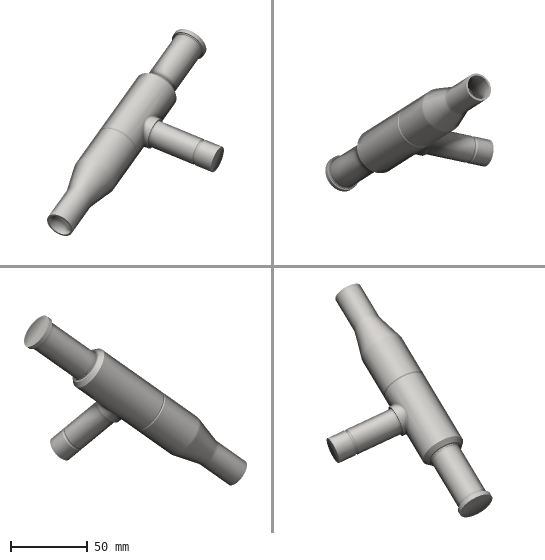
import cadquery as cq


BODY_RADIUS = 30.0 / 2
BODY_TOP_Y = 36.5
BODY_TOP_TAPER_LENGTH = 2.9
BODY_SHOULDER_RADIUS = 12.5

JOINT_GROOVE_Y = -20.3
JOINT_GROOVE_WIDTH = 1.4
JOINT_GROOVE_DEPTH = 0.4

TUBE_RADIUS = 21.0 / 2
WELD_RADIUS = 21.6 / 2
WELD_HEIGHT = 0.8
FLANGE_RADIUS = 24.0 / 2
FLANGE_THICKNESS = 3.0
FLANGE_STEP_RADIUS = 22.0 / 2
FLANGE_STEP_HEIGHT = 0.5
TOP_Y = 80.2

OVERALL_LENGTH = 179.35
BOTTOM_Y = TOP_Y - OVERALL_LENGTH
CONE_START_Y = -51.8
CONE_END_Y = -72.6
CONE_START_BLEND = 4.0
CONE_END_BLEND = 5.0
PIPE_RADIUS = 18.9 / 2
SOCKET_RADIUS = 16.15 / 2
SOCKET_DEPTH = 20.0
BORE_RADIUS = 14.5 / 2
BORE_DEPTH = 30.0

BRANCH_RADIUS = 18.0 / 2
OVERALL_WIDTH = 78.7
BRANCH_END_X = OVERALL_WIDTH - BODY_RADIUS
BRANCH_GROOVE_START_X = 49.6
BRANCH_GROOVE_WIDTH = 2.0
BRANCH_GROOVE_DEPTH = 0.5
COLLAR_RADIUS = 21.0 / 2
COLLAR_END_X = 17.1
COLLAR_FILLET = 1.0

SELECT_MARGIN = 1.0


def cylinder_y(radius, start_y, end_y):
    """Solid cylinder on the main axis between two Y positions."""
    base = cq.Workplane("XZ", origin=(0, start_y, 0))
    return base.circle(radius).extrude(start_y - end_y)


def cylinder_x(radius, end_x):
    """Solid cylinder on the branch axis, starting at the main axis."""
    return cq.Workplane("YZ").circle(radius).extrude(end_x)


def ring_at(y):
    """Selector for the circular edges around the main axis at a Y position."""
    reach = BODY_RADIUS + SELECT_MARGIN
    return cq.selectors.BoxSelector(
        (-reach, y - SELECT_MARGIN, -reach),
        (reach, y + SELECT_MARGIN, reach),
        boundingbox=True,
    )


def make_body():
    """Body barrel, reducer cone and lower pipe, turned in one piece."""
    body = (
        cq.Workplane("XY")
        .moveTo(0, BOTTOM_Y)
        .lineTo(PIPE_RADIUS, BOTTOM_Y)
        .lineTo(PIPE_RADIUS, CONE_END_Y)
        .lineTo(BODY_RADIUS, CONE_START_Y)
        .lineTo(BODY_RADIUS, BODY_TOP_Y - BODY_TOP_TAPER_LENGTH)
        .lineTo(BODY_SHOULDER_RADIUS, BODY_TOP_Y)
        .lineTo(0, BODY_TOP_Y)
        .close()
        .revolve(360, (0, 0, 0), (0, 1, 0))
    )
    body = body.edges(ring_at(CONE_START_Y)).fillet(CONE_START_BLEND)
    return body.edges(ring_at(CONE_END_Y)).fillet(CONE_END_BLEND)


def add_collar(body):
    """Body with the branch collar blended into it."""
    joined = body.union(cylinder_x(COLLAR_RADIUS, COLLAR_END_X))
    reach = COLLAR_RADIUS + SELECT_MARGIN
    seam = cq.selectors.BoxSelector(
        (SELECT_MARGIN, -reach, -reach),
        (BODY_RADIUS + SELECT_MARGIN, reach, reach),
        boundingbox=True,
    )
    return joined.edges(seam).fillet(COLLAR_FILLET)


def make_joint_groove():
    """V-shaped ring that cuts the joint groove."""
    half = JOINT_GROOVE_WIDTH / 2
    return (
        cq.Workplane("XY")
        .moveTo(BODY_RADIUS, JOINT_GROOVE_Y - half)
        .lineTo(BODY_RADIUS - JOINT_GROOVE_DEPTH, JOINT_GROOVE_Y)
        .lineTo(BODY_RADIUS, JOINT_GROOVE_Y + half)
        .close()
        .revolve(360, (0, 0, 0), (0, 1, 0))
    )


def make_upper_tube():
    """Tube, weld ring and stepped end flange."""
    flange_y = TOP_Y - FLANGE_THICKNESS
    tube = cylinder_y(TUBE_RADIUS, 0, TOP_Y)
    weld = cylinder_y(WELD_RADIUS, BODY_TOP_Y, BODY_TOP_Y + WELD_HEIGHT)
    flange = cylinder_y(FLANGE_RADIUS, flange_y, TOP_Y)
    step = cylinder_y(FLANGE_STEP_RADIUS, flange_y - FLANGE_STEP_HEIGHT, flange_y)
    return tube.union(weld).union(flange).union(step)


def make_branch():
    """Branch pipe with a shallow rounded groove near its end."""
    groove_end_x = BRANCH_GROOVE_START_X + BRANCH_GROOVE_WIDTH
    groove_middle_x = BRANCH_GROOVE_START_X + BRANCH_GROOVE_WIDTH / 2
    return (
        cq.Workplane("XY")
        .lineTo(0, BRANCH_RADIUS)
        .lineTo(BRANCH_GROOVE_START_X, BRANCH_RADIUS)
        .threePointArc(
            (groove_middle_x, BRANCH_RADIUS - BRANCH_GROOVE_DEPTH),
            (groove_end_x, BRANCH_RADIUS),
        )
        .lineTo(BRANCH_END_X, BRANCH_RADIUS)
        .lineTo(BRANCH_END_X, 0)
        .close()
        .revolve(360, (0, 0, 0), (1, 0, 0))
    )


def make_socket():
    """Stepped blind bore in the lower pipe."""
    socket = cylinder_y(SOCKET_RADIUS, BOTTOM_Y, BOTTOM_Y + SOCKET_DEPTH)
    bore = cylinder_y(BORE_RADIUS, BOTTOM_Y, BOTTOM_Y + BORE_DEPTH)
    return socket.union(bore)


def make_part():
    """Complete part as one solid."""
    part = add_collar(make_body())
    part = part.cut(make_joint_groove())
    part = part.union(make_upper_tube())
    part = part.union(make_branch())
    return part.cut(make_socket())


result = make_part()